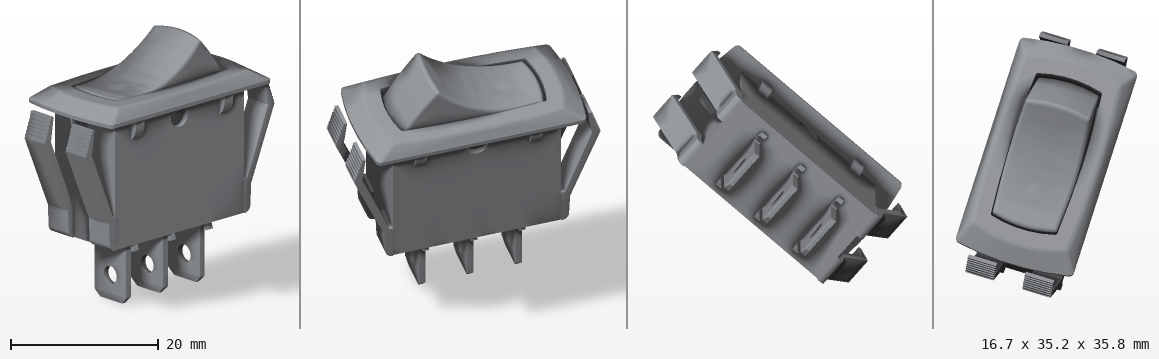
import cadquery as cq
import math


bezel_half_width = 8.35
bezel_half_length = 15.7
bezel_corner_x = 8.35
bezel_corner_y = 14.85
bezel_rim = 0.55
bezel_height = 2.1
bezel_top_half_width = 7.42
bezel_top_half_length = 13.35
bezel_top_corner_x = 6.75
bezel_top_corner_y = 12.1
bezel_corner_radius = 0.7
bezel_top_corner_radius = 0.35
bezel_top_fillet = 0.85

well_half_width = 5.13
well_half_length = 11.05
well_corner_x = 4.7
well_corner_y = 10.35
well_corner_radius = 0.35
well_floor_z = -7.9

case_half_width = 5.9
case_half_length = 12.0
case_bottom_z = -18.45

side_rib_outer_x = 6.92
side_rib_straight = 1.45
side_rib_depth = 3.45
side_rib_width = 1.6
side_rib_y = 8.25
end_rib_outer_y = 14.2
end_rib_straight = 0.9
end_rib_arc_radius = 3.95
end_rib_arc_angle = 30.0
end_rib_depth = 5.75
end_rib_width = 1.0

clip_width = 4.0
clip_outer_x = 6.05
clip_tip_outer_y = 16.42
clip_tip_inner_y = 15.92
clip_tip_z = -0.43
clip_elbow_outer_y = 17.6
clip_elbow_inner_y = 16.42
clip_elbow_z = -3.98
clip_knee_y = 13.25
clip_knee_z = -14.45
clip_foot_y = 13.1
clip_notch_y = 12.5
clip_notch_z = -13.6
clip_foot_radius = 1.0
clip_teeth = 7

terminal_pitch = 6.9
terminal_thickness = 0.85
terminal_half_width = 3.15
terminal_bottom_z = -28.05
terminal_shoulder_half_width = 3.37
terminal_shoulder_z = -19.8
terminal_bevel = 1.0
terminal_tip_thickness = 0.5
terminal_hole_diameter = 2.5
terminal_hole_z = -24.42
barb_root_x = 4.25
barb_tip_outer = (4.8, -19.9)
barb_tip_inner = (4.23, -20.15)
barb_slot_x = 3.65
barb_slot_z = -18.8

pivot_z = -1.95
rocker_tilt = 20.0
rocker_half_width = 5.0
rocker_corner_x = 4.23
rocker_corner_y = 11.1
rocker_end_y = 11.05
rocker_end_mid = (9.75, 4.25)
rocker_end_top = (8.32, 8.07)
rocker_end_plan_radius = 16.8
rocker_bottom_z = -0.7
rocker_top_z = 9.32
rocker_corner_radius = 0.35
rocker_edge_fillet = 0.5
dish_radius = 17.57
dish_centre_z = 22.88

pin_diameter = 2.95
pin_hole_diameter = 3.2
pin_end_x = 5.75
pin_lead_start_z = 0.55
pin_lead_depth = 0.7

mark_y = 4.05
mark_depth = 0.18
on_mark_length = 3.4
on_mark_width = 0.57
off_mark_outer_diameter = 3.6
off_mark_inner_diameter = 2.87


def bowed_outline(z, corner_x, corner_y, half_width, half_length, corner_radius):
    """Closed outline at height z: four bowed (or straight) sides with rounded corners."""
    def side(start, middle, end, bowed):
        first = cq.Vector(*start, z)
        last = cq.Vector(*end, z)
        if bowed:
            return cq.Edge.makeThreePointArc(first, cq.Vector(*middle, z), last)
        return cq.Edge.makeLine(first, last)

    x, y = corner_x, corner_y
    ends_bowed = half_length > corner_y
    sides_bowed = half_width > corner_x
    wire = cq.Wire.assembleEdges([
        side((-x, -y), (0, -half_length), (x, -y), ends_bowed),
        side((x, -y), (half_width, 0), (x, y), sides_bowed),
        side((x, y), (0, half_length), (-x, y), ends_bowed),
        side((-x, y), (-half_width, 0), (-x, -y), sides_bowed),
    ])
    return wire.fillet2D(corner_radius, wire.Vertices())


def outline_prism(wire, height):
    face = cq.Face.makeFromWires(wire)
    return cq.Workplane(obj=cq.Solid.extrudeLinear(face, cq.Vector(0, 0, height)))


def make_bezel():
    base = (bezel_corner_x, bezel_corner_y, bezel_half_width, bezel_half_length, bezel_corner_radius)
    top = (
        bezel_top_corner_x, bezel_top_corner_y,
        bezel_top_half_width, bezel_top_half_length, bezel_top_corner_radius,
    )
    rim = outline_prism(bowed_outline(0, *base), bezel_rim)
    slope = cq.Solid.makeLoft([bowed_outline(bezel_rim, *base), bowed_outline(bezel_height, *top)], True)
    slope = cq.Workplane(obj=slope).faces(">Z").edges().fillet(bezel_top_fillet)
    return rim.union(slope)


def make_side_rib():
    """Rib on the +X face, with an underside that curves back into the case."""
    rise = side_rib_depth - side_rib_straight
    reach = side_rib_outer_x - case_half_width
    radius = (rise**2 + reach**2) / (2 * reach)
    half_angle = math.asin(rise / radius) / 2
    arc_middle = (
        side_rib_outer_x - radius * (1 - math.cos(half_angle)),
        -side_rib_straight - radius * math.sin(half_angle),
    )
    return (
        cq.Workplane("XZ")
        .moveTo(0, 0)
        .lineTo(side_rib_outer_x, 0)
        .lineTo(side_rib_outer_x, -side_rib_straight)
        .threePointArc(arc_middle, (case_half_width, -side_rib_depth))
        .lineTo(0, -side_rib_depth)
        .close()
        .extrude(side_rib_width / 2, both=True)
    )


def make_end_rib():
    """Central rib on the +Y face: upright, then an arc, then a straight slope into the case."""
    def arc_point(degrees):
        angle = math.radians(degrees)
        return (
            end_rib_outer_y - end_rib_arc_radius * (1 - math.cos(angle)),
            -end_rib_straight - end_rib_arc_radius * math.sin(angle),
        )

    return (
        cq.Workplane("YZ")
        .moveTo(0, 0)
        .lineTo(end_rib_outer_y, 0)
        .lineTo(end_rib_outer_y, -end_rib_straight)
        .threePointArc(arc_point(end_rib_arc_angle / 2), arc_point(end_rib_arc_angle))
        .lineTo(case_half_length, -end_rib_depth)
        .lineTo(0, -end_rib_depth)
        .close()
        .extrude(end_rib_width / 2, both=True)
    )


def make_clip():
    """Spring clip on the +Y face, on the +X side, with a stepped grip above its elbow."""
    tooth_out = (clip_elbow_outer_y - clip_tip_outer_y) / clip_teeth
    tooth_down = (clip_elbow_z - clip_tip_z) / clip_teeth
    outline = (
        cq.Workplane("YZ", origin=(clip_outer_x - clip_width, 0, 0))
        .moveTo(case_half_length, case_bottom_z)
        .lineTo(case_half_length, clip_notch_z)
        .lineTo(clip_notch_y, clip_notch_z)
        .lineTo(clip_elbow_inner_y, clip_elbow_z)
        .lineTo(clip_tip_inner_y, clip_tip_z)
    )
    for tooth in range(clip_teeth):
        y = clip_tip_outer_y + tooth * tooth_out
        z = clip_tip_z + tooth * tooth_down
        outline = outline.lineTo(y, z).lineTo(y, z + tooth_down)
    return (
        outline
        .lineTo(clip_elbow_outer_y, clip_elbow_z)
        .lineTo(clip_knee_y, clip_knee_z)
        .lineTo(clip_foot_y, case_bottom_z + clip_foot_radius)
        .radiusArc((clip_foot_y - clip_foot_radius, case_bottom_z), clip_foot_radius)
        .close()
        .extrude(clip_width)
    )


def make_terminal():
    """Blade terminal below the case, with a bevelled tip, a hole and a bent barb on each side."""
    right_side = [
        (barb_root_x, case_bottom_z),
        barb_tip_outer,
        barb_tip_inner,
        (barb_slot_x, barb_slot_z),
        (terminal_shoulder_half_width, barb_slot_z),
        (terminal_shoulder_half_width, terminal_shoulder_z),
        (terminal_half_width, terminal_shoulder_z),
        (terminal_half_width, terminal_bottom_z + terminal_bevel),
        (terminal_half_width - terminal_bevel, terminal_bottom_z),
    ]
    left_side = [(-x, z) for x, z in reversed(right_side)]
    blade = (
        cq.Workplane("XZ")
        .polyline(right_side + left_side)
        .close()
        .extrude(terminal_thickness / 2, both=True)
    )
    hole = (
        cq.Workplane("XZ", origin=(0, 0, terminal_hole_z))
        .circle(terminal_hole_diameter / 2)
        .extrude(terminal_thickness, both=True)
    )
    half_thickness = terminal_thickness / 2
    half_tip = terminal_tip_thickness / 2
    bevel_z = terminal_bottom_z + terminal_bevel
    thickness_profile = (
        cq.Workplane("YZ")
        .polyline([
            (-half_thickness, case_bottom_z),
            (half_thickness, case_bottom_z),
            (half_thickness, bevel_z),
            (half_tip, terminal_bottom_z),
            (-half_tip, terminal_bottom_z),
            (-half_thickness, bevel_z),
        ])
        .close()
        .extrude(2 * barb_root_x, both=True)
    )
    return blade.cut(hole).intersect(thickness_profile)


def make_housing():
    """Bezel, case, ribs, clips and terminals, with the rocker well and the pivot holes."""
    case = (
        cq.Workplane("XY")
        .rect(2 * case_half_width, 2 * case_half_length)
        .extrude(case_bottom_z)
    )
    housing = make_bezel().union(case)

    side_rib = make_side_rib()
    for y in (-side_rib_y, side_rib_y):
        rib = side_rib.translate((0, y, 0))
        housing = housing.union(rib).union(rib.mirror("YZ"))

    end_rib = make_end_rib()
    housing = housing.union(end_rib).union(end_rib.mirror("XZ"))

    clip = make_clip()
    for one_clip in (clip, clip.mirror("YZ")):
        housing = housing.union(one_clip).union(one_clip.mirror("XZ"))

    terminal = make_terminal()
    for y in (-terminal_pitch, 0, terminal_pitch):
        housing = housing.union(terminal.translate((0, y, 0)))

    well_outline = bowed_outline(
        well_floor_z, well_corner_x, well_corner_y, well_half_width, well_half_length, well_corner_radius
    )
    well = outline_prism(well_outline, bezel_height - well_floor_z)
    pin_holes = (
        cq.Workplane("YZ", origin=(0, 0, pivot_z))
        .circle(pin_hole_diameter / 2)
        .extrude(case_half_width, both=True)
    )
    return housing.cut(well).cut(pin_holes)


def dish_cylinder(radius):
    """Cylinder along X whose underside is the dished top of the untilted rocker."""
    return (
        cq.Workplane("YZ", origin=(0, 0, dish_centre_z))
        .circle(radius)
        .extrude(2 * rocker_half_width, both=True)
    )


def make_rocker_end():
    """Solid of revolution whose outer wall is the +Y end wall of the rocker."""
    axis_y = rocker_end_y - rocker_end_plan_radius
    return (
        cq.Workplane("YZ")
        .moveTo(axis_y, rocker_bottom_z)
        .lineTo(rocker_end_y, rocker_bottom_z)
        .threePointArc(rocker_end_mid, rocker_end_top)
        .lineTo(rocker_end_top[0], rocker_top_z)
        .lineTo(axis_y, rocker_top_z)
        .close()
        .revolve(360, (axis_y, 0, 0), (axis_y, 1, 0))
    )


def make_pin():
    """Pivot pin on the -X side, with a lead-in slope on the lower part of its end."""
    radius = pin_diameter / 2
    pin = (
        cq.Workplane("YZ")
        .circle(radius)
        .extrude(-pin_end_x)
    )
    lead = (
        cq.Workplane("XZ")
        .polyline([
            (-pin_end_x, pin_lead_start_z),
            (-pin_end_x, -radius),
            (-pin_end_x + pin_lead_depth, -radius),
        ])
        .close()
        .extrude(pin_diameter, both=True)
    )
    return pin.cut(lead)


def nearest_to(point):
    return cq.selectors.NearestToPointSelector(point)


def make_rocker_blank():
    """Untilted rocker before the marks are let in."""
    height = rocker_top_z - rocker_bottom_z
    sides = (
        cq.Workplane("XY", origin=(0, 0, rocker_bottom_z))
        .moveTo(-rocker_corner_x, -rocker_corner_y)
        .lineTo(rocker_corner_x, -rocker_corner_y)
        .threePointArc((rocker_half_width, 0), (rocker_corner_x, rocker_corner_y))
        .lineTo(-rocker_corner_x, rocker_corner_y)
        .threePointArc((-rocker_half_width, 0), (-rocker_corner_x, -rocker_corner_y))
        .close()
        .extrude(height)
    )
    end = make_rocker_end()
    body = sides.intersect(end).intersect(end.mirror("XZ")).cut(dish_cylinder(dish_radius))
    corner_y, corner_z = rocker_end_mid
    for x in (-rocker_corner_x, rocker_corner_x):
        for y in (-corner_y, corner_y):
            body = body.edges(nearest_to((x, y, corner_z))).fillet(rocker_corner_radius)
    dish_bottom = (0, 0, dish_centre_z - dish_radius)
    body = body.faces(nearest_to(dish_bottom)).edges().fillet(rocker_edge_fillet)
    pin = make_pin()
    return body.union(pin).union(pin.mirror("YZ"))


def in_switch(shape):
    """Tilt a rocker piece about the pivot and move it to its place in the housing."""
    return shape.rotate((0, 0, 0), (1, 0, 0), rocker_tilt).translate((0, 0, pivot_z))


housing = make_housing()

rocker_blank = make_rocker_blank()
dish_skin = rocker_blank.intersect(dish_cylinder(dish_radius + mark_depth))
on_prism = (
    cq.Workplane("XY", origin=(0, mark_y, 0))
    .rect(on_mark_width, on_mark_length)
    .extrude(rocker_top_z)
)
off_prism = (
    cq.Workplane("XY", origin=(0, -mark_y, 0))
    .circle(off_mark_outer_diameter / 2)
    .circle(off_mark_inner_diameter / 2)
    .extrude(rocker_top_z)
)
on_mark = in_switch(dish_skin.intersect(on_prism))
off_mark = in_switch(dish_skin.intersect(off_prism))
rocker = in_switch(rocker_blank).cut(on_mark).cut(off_mark)

result = cq.Compound.makeCompound([housing.val(), rocker.val(), on_mark.val(), off_mark.val()])